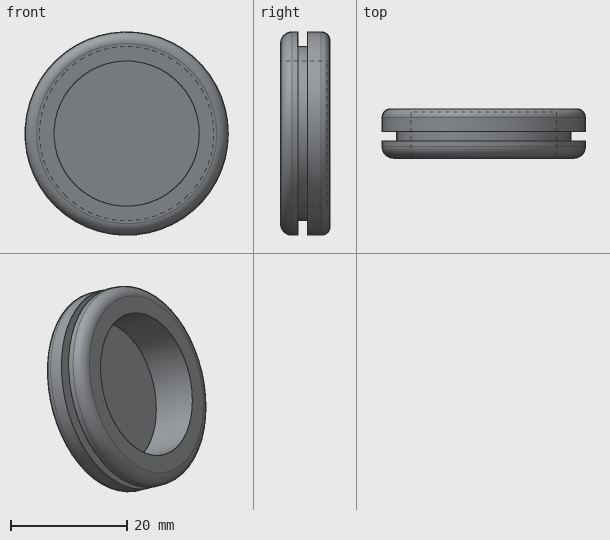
import cadquery as cq

outer_diameter = 35.0
groove_diameter = 30.0
pocket_diameter = 25.0

front_flange_width = 3.0
groove_width = 1.6
back_flange_width = 3.9
total_width = front_flange_width + groove_width + back_flange_width

front_edge_radius = 2.0
back_edge_radius = 1.5
floor_thickness = 0.5
pocket_depth = total_width - floor_thickness


def disc(diameter, start_y, width):
    """Solid disc about the Y axis, from start_y towards +Y."""
    plane = cq.Workplane("XZ", origin=(0, start_y, 0))
    return plane.circle(diameter / 2).extrude(-width)


def front_flange():
    """Flange on the open side, its outer rim rounded at the front."""
    flange = disc(outer_diameter, 0, front_flange_width)
    return flange.faces("<Y").edges().fillet(front_edge_radius)


def back_flange():
    """Flange on the closed side, its outer rim rounded at the back."""
    flange = disc(outer_diameter, total_width - back_flange_width, back_flange_width)
    return flange.faces(">Y").edges().fillet(back_edge_radius)


def groove_core():
    """Smaller disc that joins the flanges and forms the groove floor."""
    return disc(groove_diameter, front_flange_width, groove_width)


def pocket():
    """Blind round pocket opening on the front face."""
    return disc(pocket_diameter, 0, pocket_depth)


body = front_flange().union(groove_core()).union(back_flange())
result = body.cut(pocket())